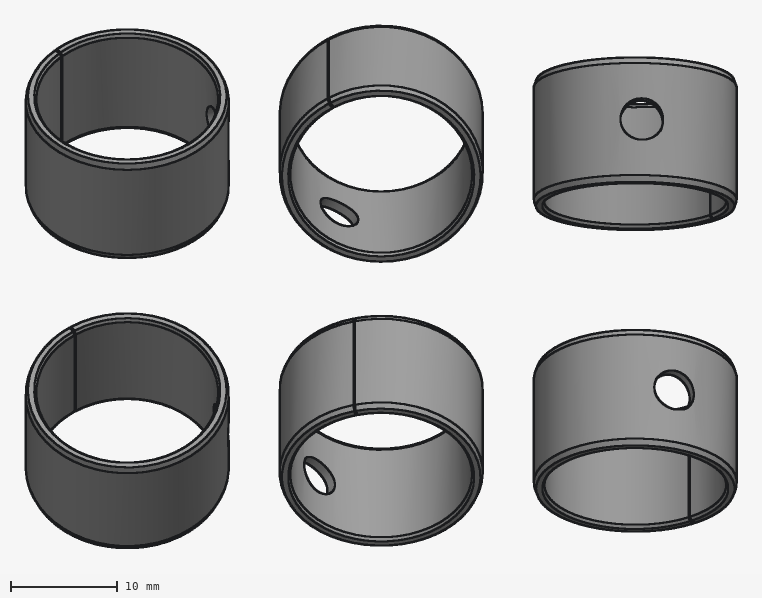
import cadquery as cq
import math

outer_diameter = 19.0
wall = 1.0
length = 12.0

outer_chamfer_length = 0.6
outer_chamfer_angle = 20.0
outer_chamfer_depth = outer_chamfer_length * math.tan(math.radians(outer_chamfer_angle))

bore_chamfer_depth = 0.2
bore_chamfer_angle = 30.0
bore_chamfer_length = bore_chamfer_depth / math.tan(math.radians(bore_chamfer_angle))

split_angle = 1.0
split_end_direction = 180.0
split_start_direction = split_end_direction - split_angle

oil_hole_diameter = 4.0
oil_hole_direction = split_start_direction - 120.0

outer_radius = outer_diameter / 2
bore_radius = outer_radius - wall
half_length = length / 2


def make_split_sleeve():
    """Revolve the chamfered wall section about Z, leaving the split open."""
    rim_outer_radius = outer_radius - outer_chamfer_depth
    rim_inner_radius = bore_radius + bore_chamfer_depth
    outer_straight_end = half_length - outer_chamfer_length
    bore_straight_end = half_length - bore_chamfer_length
    section = [
        (bore_radius, -bore_straight_end),
        (rim_inner_radius, -half_length),
        (rim_outer_radius, -half_length),
        (outer_radius, -outer_straight_end),
        (outer_radius, outer_straight_end),
        (rim_outer_radius, half_length),
        (rim_inner_radius, half_length),
        (bore_radius, bore_straight_end),
    ]
    profile = cq.Workplane("XZ").polyline(section).close()
    sleeve = profile.revolve(360 - split_angle, (0, 0, 0), (0, 1, 0))
    return sleeve.rotate((0, 0, 0), (0, 0, 1), split_end_direction)


def make_oil_hole():
    """Cylinder from the axis out past the wall along the oil hole direction."""
    drill = cq.Workplane("YZ").circle(oil_hole_diameter / 2).extrude(outer_diameter)
    return drill.rotate((0, 0, 0), (0, 0, 1), oil_hole_direction)


result = make_split_sleeve().cut(make_oil_hole())